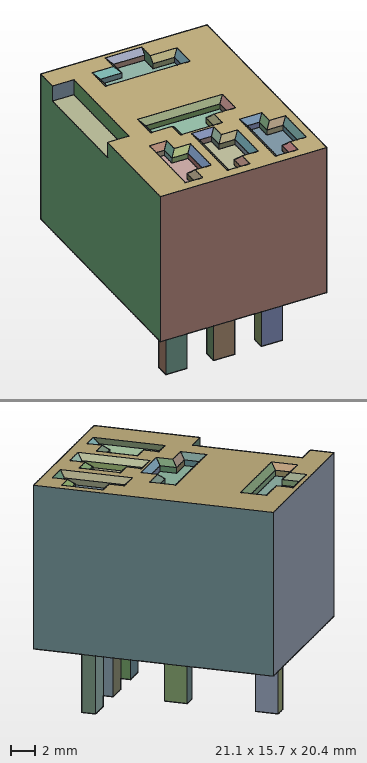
import cadquery as cq

body_length = 21.05
body_width = 15.71
body_height = 14.45

pin_length = 6.0
pin_long_side = 2.0
pin_short_side = 1.25
pin_pitch_y = 4.5

chamfer = 0.5
well_depth = 0.5
slot_depth = chamfer + well_depth

bar_width = 2.3
bar_length = 8.0
tab_width = 3.95
left_tab_length = 1.47
right_tab_length = 1.45
left_slot_x = -7.5
right_slot_x = 0.48

small_slot_x = 6.49
small_bar_length = 6.32
small_bar_width = 2.13
stem_width = 3.65
stem_length = 1.52
small_slot_base_y = [3.45, -1.07, -5.52]

foot_width = 0.46

recess_start_x = -8.45
recess_length = 9.67
recess_width = 2.02
recess_depth = 1.5


def box(x_min, y_min, z_min, size_x, size_y, size_z):
    """Axis-aligned box given by its lowest corner and its sizes."""
    return cq.Workplane("XY").box(size_x, size_y, size_z, centered=False).translate((x_min, y_min, z_min))


def chamfered_pocket(size_x, size_y):
    """Rectangular cutter, centred on X, based at Y = 0, top at Z = 0: 45 degree mouth, then a straight well."""
    mouth = cq.Workplane("XY").rect(size_x, size_y).extrude(-chamfer, taper=45)
    well = cq.Workplane("XY").rect(size_x - 2 * chamfer, size_y - 2 * chamfer).extrude(-slot_depth)
    return mouth.union(well).translate((0, size_y / 2, 0))


def t_slot_cutter(bar_size, bar_thickness, tab_size, tab_length):
    """T-shaped cutter: bar along X based at Y = 0, tab towards +Y, top at Z = 0."""
    bar = chamfered_pocket(bar_size, bar_thickness)
    tab = chamfered_pocket(tab_size, bar_thickness + tab_length)
    return bar.union(tab)


def left_slot_cutter():
    """Large slot with its tab towards -X; the +Y side of the tab is a plain wall without a chamfer."""
    tab_reach = bar_width + left_tab_length
    bar = chamfered_pocket(bar_length, bar_width)
    tab = chamfered_pocket(tab_width, tab_reach)
    plain_wall = tab_width / 2 - chamfer
    tab = tab.cut(box(plain_wall, 0, -slot_depth, chamfer, tab_reach, slot_depth))
    cutter = bar.union(tab).rotate((0, 0, 0), (0, 0, 1), 90)
    return cutter.translate((left_slot_x + bar_width / 2, 0, body_height))


def right_slot_cutter():
    """Large slot with its tab towards +X."""
    cutter = t_slot_cutter(bar_length, bar_width, tab_width, right_tab_length)
    return cutter.rotate((0, 0, 0), (0, 0, 1), -90).translate((right_slot_x - bar_width / 2, 0, body_height))


def small_slot_cutter(base_y):
    """Small slot with its stem towards +Y and the base of its bar at base_y."""
    cutter = t_slot_cutter(small_bar_length, small_bar_width, stem_width, stem_length)
    return cutter.translate((small_slot_x, base_y, body_height))


def short_slot_filler(base_y):
    """Fill the chamfer along the base of a small slot and add a foot sloping out across its well."""
    wall_y = base_y + chamfer
    foot_y = wall_y + foot_width
    foot_top = body_height - chamfer
    floor = body_height - slot_depth
    profile = [
        (base_y, body_height),
        (wall_y, body_height),
        (wall_y, foot_top),
        (foot_y, floor),
        (base_y, floor),
    ]
    filler = cq.Workplane("YZ").polyline(profile).close().extrude(small_bar_length / 2, both=True)
    return filler.translate((small_slot_x, 0, 0))


def pin(x, y, size_x, size_y):
    """Rectangular terminal pin hanging from the underside of the housing."""
    return box(x - size_x / 2, y - size_y / 2, -pin_length, size_x, size_y, pin_length)


result = box(-body_length / 2, -body_width / 2, 0, body_length, body_width, body_height)
result = result.cut(
    box(recess_start_x, -body_width / 2, body_height - recess_depth, recess_length, recess_width, recess_depth)
)

result = result.cut(left_slot_cutter()).cut(right_slot_cutter())
for base_y in small_slot_base_y:
    result = result.cut(small_slot_cutter(base_y))
result = result.union(short_slot_filler(small_slot_base_y[-1]))

for x in (left_slot_x, right_slot_x):
    result = result.union(pin(x, 0, pin_long_side, pin_short_side))
for y in (-pin_pitch_y, 0, pin_pitch_y):
    result = result.union(pin(small_slot_x, y, pin_short_side, pin_long_side))